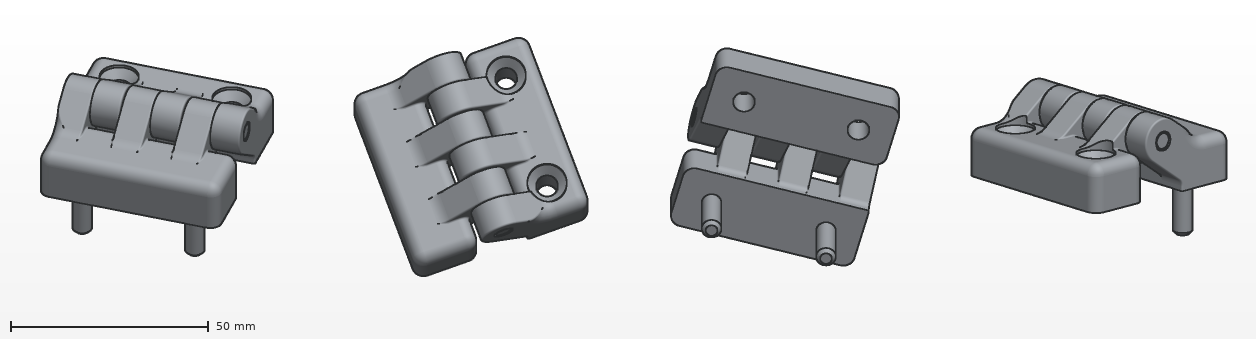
import cadquery as cq
import math

OVERALL_WIDTH = 48.2
OVERALL_DEPTH = 47.0
OVERALL_HEIGHT = 35.48

SIDE_SHIFT = 0.2
LEAF_WIDTH = OVERALL_WIDTH - SIDE_SHIFT
LEAF_DEPTH = 17.0
LEAF_HEIGHT = 12.55
LEAF_ROUND = 3.0
OUTER_FACE_Y = -OVERALL_DEPTH / 2
INNER_FACE_Y = OUTER_FACE_Y + LEAF_DEPTH

AXIS_Z = 14.55
BARREL_DIAMETER = 12.0
BARREL_RADIUS = BARREL_DIAMETER / 2
ARM_SLOPE = math.radians(36)
TOP_BLEND = 5.0
BOTTOM_BLEND = 2.02
ARM_EDGE_ROUND = 0.5
ARM_ROOT_ROUND = 0.5
ARMS_PER_LEAF = 3
KNUCKLE_WIDTH = LEAF_WIDTH / (2 * ARMS_PER_LEAF)
KNUCKLE_CLEARANCE = SIDE_SHIFT / 2

PIN_DIAMETER = 5.0
PIN_CHAMFER = 0.5
PIN_RECESS = 0.2
PIN_LENGTH = LEAF_WIDTH - SIDE_SHIFT - 2 * PIN_RECESS

FIXING_SPACING = 30.0
FIXING_Y = 15.0
SCREW_DIAMETER = 5.5
SCREW_HEAD_DIAMETER = 10.0
SCREW_HEAD_RECESS = 0.75
STUD_DIAMETER = 5.0
STUD_CHAMFER = 1.0
STUD_LENGTH = OVERALL_HEIGHT - AXIS_Z - BARREL_RADIUS

TOP_BLEND_Z = LEAF_HEIGHT + TOP_BLEND
TOP_BLEND_Y = -(
    BARREL_RADIUS + TOP_BLEND + (AXIS_Z - TOP_BLEND_Z) * math.cos(ARM_SLOPE)
) / math.sin(ARM_SLOPE)

BOTTOM_BLEND_Y = INNER_FACE_Y + BOTTOM_BLEND
BOTTOM_BLEND_Z = AXIS_Z - (
    BARREL_RADIUS + BOTTOM_BLEND - BOTTOM_BLEND_Y * math.sin(ARM_SLOPE)
) / math.cos(ARM_SLOPE)

TOLERANCE = 0.0005


def on_circle(center, radius, angle):
    """Point (Y, Z) on a circle, with the angle counted from +Y towards +Z."""
    return center[0] + radius * math.cos(angle), center[1] + radius * math.sin(angle)


def leaf_block():
    """Front leaf without arms, rounded everywhere but underneath."""
    return (
        cq.Workplane("XY", origin=(0, OUTER_FACE_Y, 0))
        .box(LEAF_WIDTH, LEAF_DEPTH, LEAF_HEIGHT, centered=(True, False, False))
        .edges("|Z")
        .fillet(LEAF_ROUND)
        .faces(">Z")
        .edges()
        .fillet(LEAF_ROUND)
    )


def arm(x_start, x_end):
    """One front-leaf arm with sharp edges."""
    axis = (0, AXIS_Z)
    top_blend = (TOP_BLEND_Y, TOP_BLEND_Z)
    bottom_blend = (BOTTOM_BLEND_Y, BOTTOM_BLEND_Z)
    up_normal = math.pi / 2 + ARM_SLOPE
    down_normal = up_normal - math.pi
    return (
        cq.Workplane("YZ", origin=(x_start, 0, 0))
        .moveTo(TOP_BLEND_Y, 0)
        .lineTo(INNER_FACE_Y, 0)
        .lineTo(INNER_FACE_Y, BOTTOM_BLEND_Z)
        .threePointArc(
            on_circle(bottom_blend, BOTTOM_BLEND, (math.pi + up_normal) / 2),
            on_circle(bottom_blend, BOTTOM_BLEND, up_normal),
        )
        .lineTo(*on_circle(axis, BARREL_RADIUS, down_normal))
        .threePointArc(
            on_circle(axis, BARREL_RADIUS, ARM_SLOPE),
            on_circle(axis, BARREL_RADIUS, up_normal),
        )
        .lineTo(*on_circle(top_blend, TOP_BLEND, down_normal))
        .threePointArc(
            on_circle(top_blend, TOP_BLEND, (down_normal - math.pi / 2) / 2),
            (TOP_BLEND_Y, LEAF_HEIGHT),
        )
        .close()
        .extrude(x_end - x_start)
    )


def round_sides(sharp_arm):
    """Arm with both side outlines rounded, each taken as one smooth chain from its barrel arc."""
    return sharp_arm.faces("<X or >X").edges(">Y").fillet(ARM_EDGE_ROUND)


def end_round_cutter():
    """Ring that carries the leaf's end rounding up along the top blend of the end arm."""
    rim_radius = TOP_BLEND + LEAF_ROUND
    diagonal = LEAF_ROUND * math.sqrt(0.5)
    return (
        cq.Workplane("XY", origin=(-LEAF_WIDTH / 2, TOP_BLEND_Y, TOP_BLEND_Z))
        .lineTo(LEAF_ROUND, 0)
        .lineTo(LEAF_ROUND, TOP_BLEND)
        .threePointArc((LEAF_ROUND - diagonal, rim_radius - diagonal), (0, rim_radius))
        .close()
        .revolve(360, (0, 0, 0), (1, 0, 0))
    )


def leaf_with_arms():
    """Front leaf with its arms, one of them flush with the -X end."""
    block = leaf_block()
    body = block
    inner_sides = []
    for index in range(ARMS_PER_LEAF):
        knuckle_start = -LEAF_WIDTH / 2 + 2 * index * KNUCKLE_WIDTH
        x_end = knuckle_start + KNUCKLE_WIDTH - KNUCKLE_CLEARANCE
        inner_sides.append(x_end)
        if index == 0:
            body = body.union(round_sides(arm(knuckle_start, x_end).cut(end_round_cutter())))
        else:
            x_start = knuckle_start + KNUCKLE_CLEARANCE
            inner_sides.append(x_start)
            body = body.union(round_sides(arm(x_start, x_end)))

    leaf_surface = block.val().Shells()[0]

    def is_root(edge):
        middle = edge.positionAt(0.5)
        beside_arm = any(abs(middle.x - side) < ARM_EDGE_ROUND - TOLERANCE for side in inner_sides)
        on_leaf = leaf_surface.distance(cq.Vertex.makeVertex(*middle.toTuple())) < TOLERANCE
        return beside_arm and on_leaf and middle.z > TOLERANCE and middle.y > TOP_BLEND_Y

    return body.edges().filter(is_root).fillet(ARM_ROOT_ROUND)


def at_fixings(shape, y):
    """Copies of a shape at the two fixing places of a centred leaf."""
    first = shape.translate((-FIXING_SPACING / 2, y, 0))
    return first.union(first.translate((FIXING_SPACING, 0, 0)))


def stud():
    """Stud below the leaf underside with a chamfered tip."""
    return (
        cq.Workplane("XY")
        .circle(STUD_DIAMETER / 2)
        .extrude(-STUD_LENGTH)
        .faces("<Z")
        .chamfer(STUD_CHAMFER)
    )


def screw_cutter():
    """Through hole with a 90-degree countersink, open upwards through the arms."""
    hole_radius = SCREW_DIAMETER / 2
    head_radius = SCREW_HEAD_DIAMETER / 2
    cone_top = LEAF_HEIGHT - SCREW_HEAD_RECESS
    cutter_top = AXIS_Z + BARREL_RADIUS
    return (
        cq.Workplane("XZ")
        .lineTo(hole_radius, 0)
        .lineTo(hole_radius, cone_top - (head_radius - hole_radius))
        .lineTo(head_radius, cone_top)
        .lineTo(head_radius, cutter_top)
        .lineTo(0, cutter_top)
        .close()
        .revolve(360, (0, 0, 0), (0, 1, 0))
    )


def pin():
    """Hinge pin with chamfered ends."""
    return (
        cq.Workplane("YZ", origin=(-PIN_LENGTH / 2, 0, AXIS_Z))
        .circle(PIN_DIAMETER / 2)
        .extrude(PIN_LENGTH)
        .faces("<X or >X")
        .edges()
        .chamfer(PIN_CHAMFER)
    )


def pin_bore():
    """Straight bore for the pin through all knuckles."""
    return (
        cq.Workplane("YZ", origin=(-OVERALL_WIDTH / 2, 0, AXIS_Z))
        .circle(PIN_DIAMETER / 2)
        .extrude(OVERALL_WIDTH)
    )


plain_leaf = leaf_with_arms()
front_leaf = plain_leaf.union(at_fixings(stud(), -FIXING_Y))
rear_leaf = plain_leaf.rotate((0, 0, 0), (0, 0, 1), 180).cut(at_fixings(screw_cutter(), FIXING_Y))

leaves = front_leaf.translate((SIDE_SHIFT / 2, 0, 0)).union(rear_leaf.translate((-SIDE_SHIFT / 2, 0, 0)))
result = leaves.cut(pin_bore()).union(pin())